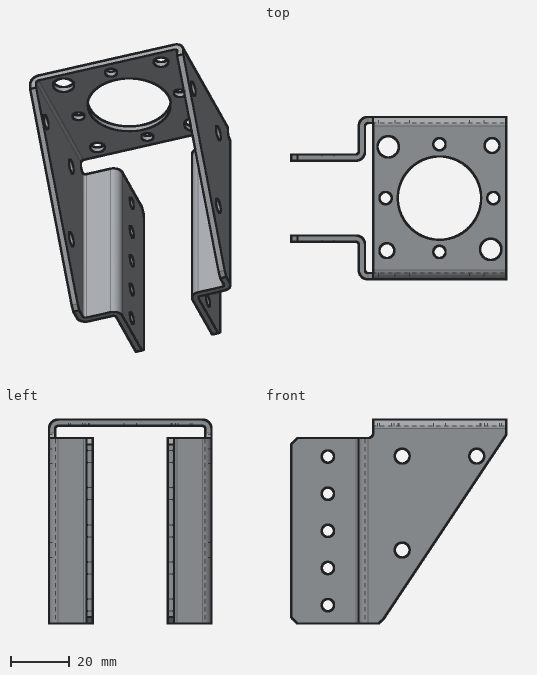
import cadquery as cq

length = 73.5
width = 55.5
height = 69.7

thickness = 2.2
bend_inner = 0.95
bend_outer = bend_inner + thickness

flange_height = 63.4
flange_outer_y = 14.9
flange_chamfer = 2.2
jog_x = 23.1
jog_bend_end_x = jog_x + bend_outer

plate_x = 28.0
relief_radius = plate_x - jog_bend_end_x
slope_top_z = 64.55
slope_bottom_x = 31.55
slope_bottom_z = 1.55
foot_end_x = 29.85

flange_hole_dia = 4.1
flange_hole_x = 12.6
flange_hole_count = 5
flange_hole_pitch = flange_height / flange_hole_count

side_hole_dia = 5.0
side_hole_near_x = 37.95
side_hole_far_x = 63.4
side_hole_high_z = 57.2
side_hole_low_z = 25.15

bore_dia = 28.4
bore_x = 50.65
axis_hole_dia = 4.1
axis_hole_offset = 18.4
large_corner_dia = 7.2
large_corner_offset = 17.5
small_corner_dia = 5.0
small_corner_offset = 17.95


def make_channel():
    """Top plate and both side walls: a bent U section trimmed to the side outline."""
    outer = (
        cq.Workplane("XY")
        .box(length - jog_bend_end_x, width, height, centered=(False, True, False))
        .edges("|X and >Z")
        .fillet(bend_outer)
    )
    inner = (
        cq.Workplane("XY")
        .box(
            length - jog_bend_end_x,
            width - 2 * thickness,
            height - thickness,
            centered=(False, True, False),
        )
        .edges("|X and >Z")
        .fillet(bend_inner)
    )
    section = outer.cut(inner).translate((jog_bend_end_x, 0, 0))
    side_outline = (
        cq.Workplane("XZ")
        .moveTo(jog_bend_end_x, 0)
        .lineTo(foot_end_x, 0)
        .lineTo(slope_bottom_x, slope_bottom_z)
        .lineTo(length, slope_top_z)
        .lineTo(length, height)
        .lineTo(plate_x, height)
        .lineTo(plate_x, flange_height + relief_radius)
        .radiusArc((jog_bend_end_x, flange_height), relief_radius)
        .close()
        .extrude(width / 2, both=True)
    )
    return section.intersect(side_outline)


def make_flange():
    """Jogged flange on the +Y side, bent inwards and then towards -X."""
    wall_y = width / 2
    inner_y = flange_outer_y - thickness
    jog_end_x = jog_x + thickness
    flange = (
        cq.Workplane("XY")
        .moveTo(0, inner_y)
        .lineTo(jog_end_x - bend_outer, inner_y)
        .radiusArc((jog_end_x, inner_y + bend_outer), -bend_outer)
        .lineTo(jog_end_x, wall_y - bend_outer)
        .radiusArc((jog_bend_end_x, wall_y - thickness), bend_inner)
        .lineTo(jog_bend_end_x, wall_y)
        .radiusArc((jog_x, wall_y - bend_outer), -bend_outer)
        .lineTo(jog_x, flange_outer_y + bend_inner)
        .radiusArc((jog_x - bend_inner, flange_outer_y), bend_inner)
        .lineTo(0, flange_outer_y)
        .close()
        .extrude(flange_height)
    )
    return flange.edges("|Y and <X").chamfer(flange_chamfer)


def cross_holes(points, diameter):
    """Cylinders along Y through both sides, at (X, Z) points."""
    return cq.Workplane("XZ").pushPoints(points).circle(diameter / 2).extrude(width, both=True)


def plate_holes(offsets, diameter):
    """Cylinders through the top plate, at (X, Y) offsets from the bore axis."""
    return (
        cq.Workplane("XY", origin=(bore_x, 0, height - thickness))
        .pushPoints(offsets)
        .circle(diameter / 2)
        .extrude(thickness)
    )


flange = make_flange()
bracket = make_channel().union(flange).union(flange.mirror("XZ"))

flange_hole_points = [
    (flange_hole_x, (row + 0.5) * flange_hole_pitch) for row in range(flange_hole_count)
]
side_hole_points = [
    (side_hole_near_x, side_hole_high_z),
    (side_hole_far_x, side_hole_high_z),
    (side_hole_near_x, side_hole_low_z),
]
bracket = bracket.cut(cross_holes(flange_hole_points, flange_hole_dia))
bracket = bracket.cut(cross_holes(side_hole_points, side_hole_dia))

axis_hole_offsets = [
    (axis_hole_offset, 0),
    (0, axis_hole_offset),
    (-axis_hole_offset, 0),
    (0, -axis_hole_offset),
]
large_corner_offsets = [
    (-large_corner_offset, large_corner_offset),
    (large_corner_offset, -large_corner_offset),
]
small_corner_offsets = [
    (small_corner_offset, small_corner_offset),
    (-small_corner_offset, -small_corner_offset),
]
bracket = bracket.cut(plate_holes([(0, 0)], bore_dia))
bracket = bracket.cut(plate_holes(axis_hole_offsets, axis_hole_dia))
bracket = bracket.cut(plate_holes(large_corner_offsets, large_corner_dia))
bracket = bracket.cut(plate_holes(small_corner_offsets, small_corner_dia))

result = bracket